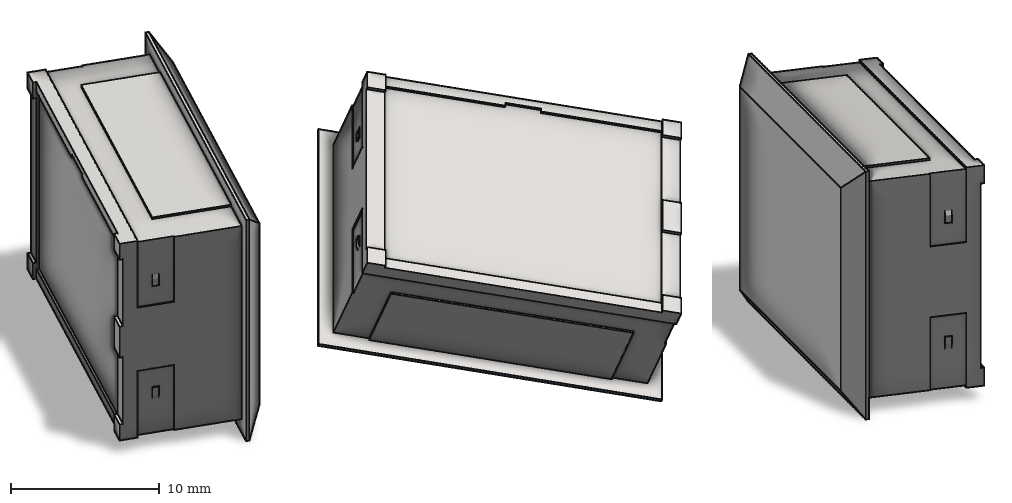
import cadquery as cq

bezel_width = 24.0
bezel_height = 17.8
total_depth = 10.0
rim_depth = 0.25
taper_depth = 1.2
taper_inset_x = 1.68
taper_inset_z = 1.6

housing_width = 21.94
frame_height = 15.85
frame_depth = 1.03
housing_step = 0.15
foot_size = 1.3
foot_depth = 0.25
tab_height = 2.5

panel_margin_z = 0.8
panel_recess = 0.2
notch_width = 2.5
notch_height = 0.25

plate_width = 16.95
plate_depth = 5.55

pocket_depth = 0.1
pocket_length = 2.57
pocket_height = 5.23
latch_length = 0.48
latch_height = 0.86
latch_ramp = 0.3
latch_thickness = 0.1
latch_drop = 2.83
latch_gap = 1.03

back_y = total_depth / 2
rim_back_y = back_y - taper_depth
rim_front_y = rim_back_y - rim_depth
feet_y = -total_depth / 2
frame_front_y = feet_y + foot_depth
frame_back_y = frame_front_y + frame_depth

side_x = housing_width / 2
housing_height = frame_height - 2 * housing_step
housing_top_z = housing_height / 2


def block(x0, x1, y0, y1, z0, z1):
    """Box between two opposite corners."""
    return cq.Workplane("XY").box(x1 - x0, y1 - y0, z1 - z0, centered=False).translate((x0, y0, z0))


def centered_block(width, y0, y1, height):
    """Box centred on the Y axis."""
    return block(-width / 2, width / 2, y0, y1, -height / 2, height / 2)


def make_bezel():
    rim = centered_block(bezel_width, rim_front_y, rim_back_y, bezel_height)
    face_width = bezel_width - 2 * taper_inset_x
    face_height = bezel_height - 2 * taper_inset_z
    taper = (
        cq.Workplane("XZ", origin=(0, rim_back_y, 0))
        .rect(bezel_width, bezel_height)
        .workplane(offset=-taper_depth)
        .rect(face_width, face_height)
        .loft(ruled=True)
    )
    return rim.union(taper)


def make_housing():
    body = centered_block(housing_width, frame_back_y, rim_front_y, housing_height)
    frame = centered_block(housing_width, frame_front_y, frame_back_y, frame_height)
    plates = centered_block(plate_width, rim_front_y - plate_depth, rim_front_y, frame_height)
    return body.union(frame).union(plates)


def make_front_recess():
    panel_width = housing_width - 2 * foot_size
    panel_height = frame_height - 2 * panel_margin_z
    recess_y = frame_front_y + panel_recess
    panel = centered_block(panel_width, frame_front_y, recess_y, panel_height)
    notch = block(
        -notch_width / 2, notch_width / 2,
        frame_front_y, recess_y,
        0, panel_height / 2 + notch_height,
    )
    return panel.union(notch)


def make_feet():
    """Four corner feet and one tab midway up the +X side."""
    inner_x = side_x - foot_size
    top_z = frame_height / 2
    feet = block(inner_x, side_x, feet_y, frame_front_y, -tab_height / 2, tab_height / 2)
    for x0 in (-side_x, inner_x):
        for z0 in (-top_z, top_z - foot_size):
            feet = feet.union(block(x0, x0 + foot_size, feet_y, frame_front_y, z0, z0 + foot_size))
    return feet


def make_pockets():
    """Pockets at the upper and lower ends of the -X side."""
    pocket_floor_x = -side_x + pocket_depth
    pocket_back_y = frame_back_y + pocket_length
    upper = block(
        -side_x, pocket_floor_x,
        frame_back_y, pocket_back_y,
        housing_top_z - pocket_height, housing_top_z,
    )
    return upper.union(upper.mirror("XY"))


def make_latch():
    """Latch on the floor of the upper -X pocket, with its upper end sloped."""
    top_z = housing_top_z - latch_drop
    floor_x = -side_x + pocket_depth
    outer_x = floor_x - latch_thickness
    bottom_z = top_z - latch_height
    latch_front_y = frame_back_y + latch_gap
    profile = [
        (floor_x, top_z),
        (outer_x, top_z - latch_ramp),
        (outer_x, bottom_z),
        (floor_x, bottom_z),
    ]
    return (
        cq.Workplane("XZ", origin=(0, latch_front_y, 0))
        .polyline(profile)
        .close()
        .extrude(-latch_length)
    )


def make_latches():
    upper = make_latch()
    return upper.union(upper.mirror("XY"))


def on_both_sides(shape):
    return shape.union(shape.mirror("YZ"))


result = (
    make_housing()
    .union(make_bezel())
    .cut(make_front_recess())
    .union(make_feet())
    .cut(on_both_sides(make_pockets()))
    .union(on_both_sides(make_latches()))
)